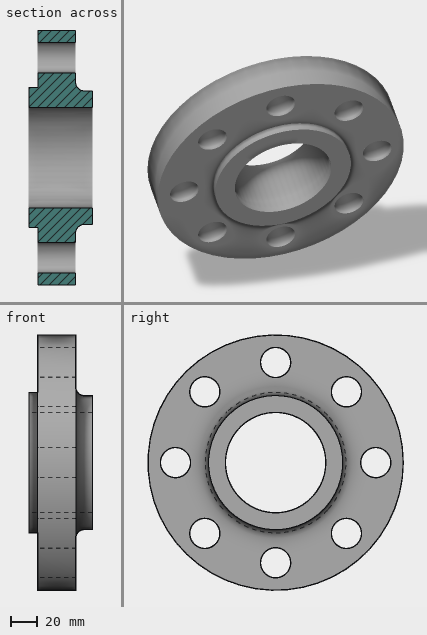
import cadquery as cq

total_length = 47.6
raised_face_height = 6.5
flange_thickness = 28.5
hub_fillet_radius = 6.3

flange_diameter = 190.5
raised_face_diameter = 105.0
hub_diameter = 100.0
bore_diameter = 74.7

bolt_hole_count = 8
bolt_circle_diameter = 149.4
bolt_hole_diameter = 22.3

flange_back = raised_face_height + flange_thickness


def disc(diameter, start, end):
    """Cylinder around the X axis between two axial positions."""
    return cq.Workplane("YZ", origin=(start, 0, 0)).circle(diameter / 2).extrude(end - start)


def hub_fillet():
    """Concave ring blending the hub into the back of the flange."""
    hub_radius = hub_diameter / 2
    fillet_end = flange_back + hub_fillet_radius
    outer_radius = hub_radius + hub_fillet_radius
    arc_offset = hub_fillet_radius * (1 - 0.5**0.5)
    return (
        cq.Workplane("XY")
        .moveTo(flange_back, 0)
        .lineTo(flange_back, outer_radius)
        .threePointArc(
            (flange_back + arc_offset, hub_radius + arc_offset),
            (fillet_end, hub_radius),
        )
        .lineTo(fillet_end, 0)
        .close()
        .revolve(360, (0, 0, 0), (1, 0, 0))
    )


body = (
    disc(raised_face_diameter, 0, raised_face_height)
    .union(disc(flange_diameter, raised_face_height, flange_back))
    .union(hub_fillet())
    .union(disc(hub_diameter, flange_back, total_length))
)

bore = disc(bore_diameter, 0, total_length)

bolt_holes = (
    cq.Workplane("YZ")
    .polarArray(bolt_circle_diameter / 2, 0, 360, bolt_hole_count)
    .circle(bolt_hole_diameter / 2)
    .extrude(total_length)
)

result = body.cut(bore).cut(bolt_holes)